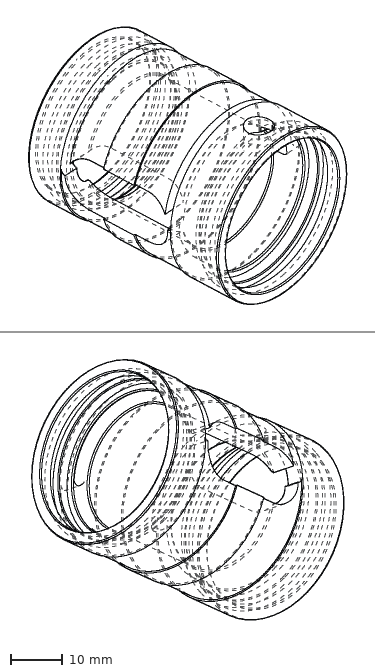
import cadquery as cq
import math

length = 50.0
half_length = length / 2
collar_radius = 19.0
waist_radius = 18.65
end_chamfer_length = 0.35
end_chamfer_depth = 0.2

slot_width = 2.0
left_slot_start = -16.5
right_slot_end = 12.5
left_wall = left_slot_start + slot_width
right_wall = right_slot_end - slot_width
waist_middle = (left_slot_start + right_slot_end) / 2
band_width = 8.0
slot_floor_z = 0.15

mouth_radius = 16.55
seat_radius = 15.2
bore_radius = 13.25
ring_groove_radius = 18.0
ring_groove_outer = 22.0
ring_groove_inner = 19.55
seat_step = 17.05
lip_chamfer_length = 0.25
lip_chamfer_depth = 0.2
seat_chamfer_length = 0.4
wall_fillet_radius = 1.1
bore_chamfer = 0.3

window_height = 12.1
window_length = right_slot_end - left_slot_start - slot_width
pin_hole_diameter = 6.05
pin_hole_x = 18.75


def disc(start, end, radius):
    """Solid cylinder on the X axis between two X positions."""
    return cq.Workplane("YZ").workplane(offset=start).circle(radius).extrude(end - start)


def outer_body():
    rim_radius = collar_radius - end_chamfer_depth
    neck = half_length - end_chamfer_length
    band_start = waist_middle - band_width / 2
    band_end = waist_middle + band_width / 2
    outline = [
        (-half_length, 0), (-half_length, rim_radius), (-neck, collar_radius),
        (left_slot_start, collar_radius), (left_slot_start, waist_radius),
        (band_start, waist_radius), (band_start, collar_radius),
        (band_end, collar_radius), (band_end, waist_radius),
        (right_slot_end, waist_radius), (right_slot_end, collar_radius),
        (neck, collar_radius), (half_length, rim_radius), (half_length, 0),
    ]
    return cq.Workplane("XY").polyline(outline).close().revolve(360, (0, 0, 0), (1, 0, 0))


def end_cavity(side, wall):
    """Stepped cavity from one end (side is -1 or +1) in to the bore wall."""
    wall = abs(wall)
    fillet_start = wall + wall_fillet_radius
    fillet_top = seat_radius - wall_fillet_radius
    arc_offset = wall_fillet_radius * math.sqrt(0.5)
    fillet_middle = (fillet_start - arc_offset, fillet_top + arc_offset)
    flared_mouth = mouth_radius + lip_chamfer_depth
    profile = [
        (half_length, 0), (half_length, flared_mouth),
        (half_length - end_chamfer_length, mouth_radius),
        (ring_groove_outer, mouth_radius), (ring_groove_outer, ring_groove_radius),
        (ring_groove_inner, ring_groove_radius), (ring_groove_inner, flared_mouth),
        (ring_groove_inner - lip_chamfer_length, mouth_radius),
        (seat_step, mouth_radius), (seat_step, seat_radius + lip_chamfer_depth),
        (seat_step - seat_chamfer_length, seat_radius), (fillet_start, seat_radius),
    ]
    bore_chamfer_end = wall - bore_chamfer

    def place(point):
        return (side * point[0], point[1])

    return (
        cq.Workplane("XY")
        .polyline([place(point) for point in profile])
        .threePointArc(place(fillet_middle), place((wall, fillet_top)))
        .lineTo(*place((wall, bore_radius + bore_chamfer)))
        .lineTo(*place((bore_chamfer_end, bore_radius)))
        .lineTo(*place((bore_chamfer_end, 0)))
        .close()
        .revolve(360, (0, 0, 0), (1, 0, 0))
    )


def half_slot(start):
    """Slot through the upper half of the wall, with a fully rounded floor."""
    height = collar_radius + 0.5
    floor_radius = slot_width / 2
    return (
        cq.Workplane("XZ", origin=(start, 0, slot_floor_z + floor_radius))
        .lineTo(0, height)
        .lineTo(slot_width, height)
        .lineTo(slot_width, 0)
        .threePointArc((floor_radius, -floor_radius), (0, 0))
        .close()
        .extrude(height, both=True)
    )


def window():
    return (
        cq.Workplane("XZ")
        .center(waist_middle, 0)
        .slot2D(window_length, window_height)
        .extrude(collar_radius + 0.5)
    )


def pin_hole():
    return (
        cq.Workplane("XY")
        .center(pin_hole_x, 0)
        .circle(pin_hole_diameter / 2)
        .extrude(collar_radius + 0.5)
    )


result = (
    outer_body()
    .cut(disc(left_wall, right_wall, bore_radius))
    .cut(end_cavity(-1, left_wall))
    .cut(end_cavity(1, right_wall))
    .cut(half_slot(left_slot_start))
    .cut(half_slot(right_wall))
    .cut(window())
    .cut(pin_hole())
)